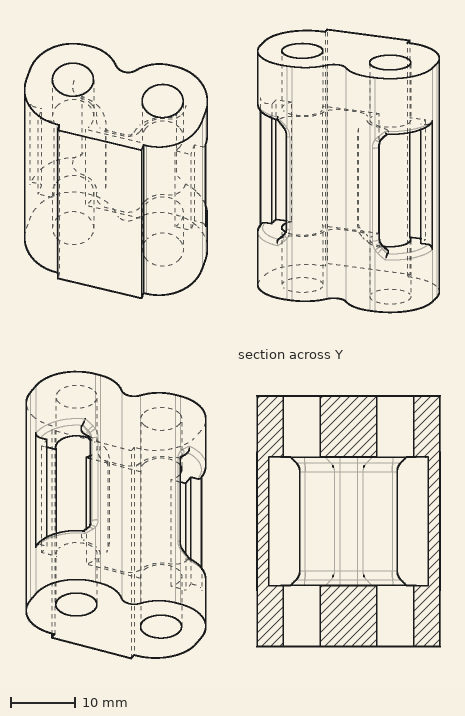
import cadquery as cq
import math

height = 39.0
width = 28.5
lobe_radius = 7.0
hole_radius = 3.2
side_x = width / 2
hole_x = side_x - lobe_radius
flat_side_length = 2.0
front_y = -flat_side_length - lobe_radius

pad_half_width = 6.82
pad_thickness = 1.05

notch_bottom_y = 3.7
notch_radius = 2.0
shoulder_radius = 6.0

window_height = 19.95
window_radius = 5.1
slot_floor_y = hole_radius - window_radius
slot_half_width = hole_x + window_radius
rim_fillet = 0.75

bridge_tip_x = hole_x + 0.3
bridge_lip_fillet = 0.9
bridge_foot_chamfer = 1.45
bridge_foot_fillet = 2.0

overshoot = 3.9
cutter_back_y = lobe_radius + overshoot
slack = 0.02


def body_outline():
    """Closed outline of the two lobes, with the notch at the back."""
    shoulder_y = lobe_radius - shoulder_radius
    rise = notch_bottom_y + notch_radius - shoulder_y
    reach = shoulder_radius + notch_radius
    shoulder_x = math.sqrt(reach**2 - rise**2)
    meet_x = shoulder_x * notch_radius / reach
    meet_y = shoulder_y + rise * shoulder_radius / reach
    middle_angle = (math.pi / 2 + math.atan2(rise, shoulder_x)) / 2
    middle_x = shoulder_x - shoulder_radius * math.cos(middle_angle)
    middle_y = shoulder_y + shoulder_radius * math.sin(middle_angle)
    diagonal = lobe_radius * math.sqrt(0.5)
    corner_x = hole_x + diagonal
    front_corner_y = -flat_side_length - diagonal
    return (
        cq.Workplane("XY")
        .moveTo(-hole_x, front_y)
        .lineTo(hole_x, front_y)
        .threePointArc((corner_x, front_corner_y), (side_x, -flat_side_length))
        .lineTo(side_x, 0)
        .threePointArc((corner_x, diagonal), (hole_x, lobe_radius))
        .lineTo(shoulder_x, lobe_radius)
        .threePointArc((middle_x, middle_y), (meet_x, meet_y))
        .threePointArc((0, notch_bottom_y), (-meet_x, meet_y))
        .threePointArc((-middle_x, middle_y), (-shoulder_x, lobe_radius))
        .lineTo(-hole_x, lobe_radius)
        .threePointArc((-corner_x, diagonal), (-side_x, 0))
        .lineTo(-side_x, -flat_side_length)
        .threePointArc((-corner_x, front_corner_y), (-hole_x, front_y))
        .close()
    )


def plain_body():
    """The two lobes and the front pad, before any holes or windows."""
    pad_depth = pad_thickness - front_y
    pad = (
        cq.Workplane("XY")
        .box(2 * pad_half_width, pad_depth, height, centered=(True, False, False))
        .translate((0, front_y - pad_thickness, 0))
    )
    return body_outline().extrude(height).union(pad)


def bridge():
    """Bridge between the windows, hollowed around both hole axes, with rounded lips."""
    diagonal = window_radius * math.sqrt(0.5)
    bottom_x = hole_x - window_radius
    tip_y = math.sqrt(window_radius**2 - (bridge_tip_x - hole_x) ** 2)
    back_y = cutter_back_y + overshoot
    return (
        cq.Workplane("XY")
        .moveTo(-bottom_x, 0)
        .lineTo(bottom_x, 0)
        .threePointArc((hole_x - diagonal, diagonal), (bridge_tip_x, tip_y))
        .lineTo(bridge_tip_x, back_y)
        .lineTo(-bridge_tip_x, back_y)
        .lineTo(-bridge_tip_x, tip_y)
        .threePointArc((-hole_x + diagonal, diagonal), (-bottom_x, 0))
        .close()
        .extrude(window_height)
        .edges("|Z and (not >Y)")
        .fillet(bridge_lip_fillet)
    )


def bridge_edges(z):
    """Selects the edges around the bridge whose centres lie at height z of the cutter."""
    reach_x = bridge_tip_x + slack
    low = (-reach_x, -bridge_foot_chamfer - slack, z - slack)
    high = (reach_x, cutter_back_y - slack, z + slack)
    return cq.selectors.BoxSelector(low, high)


def window_cutter():
    """Space of both windows and the slot; the bridge is left out, its feet flared."""
    span = width + 2 * overshoot
    depth = cutter_back_y - slot_floor_y
    cutter = (
        cq.Workplane("XY")
        .box(span, depth, window_height, centered=(True, False, False))
        .translate((0, slot_floor_y, 0))
        .cut(bridge())
    )
    for z in (0, window_height):
        cutter = cutter.edges(bridge_edges(z)).chamfer(bridge_foot_chamfer)
    for z in (bridge_foot_chamfer, window_height - bridge_foot_chamfer):
        cutter = cutter.edges(bridge_edges(z)).fillet(bridge_foot_fillet)
    return cutter.translate((0, 0, (height - window_height) / 2))


def is_window_rim(edge):
    """True for edges where a window breaks through the outside of a lobe."""
    middle = edge.positionAt(0.5)
    from_axis = math.hypot(abs(middle.x) - hole_x, middle.y)
    on_lobe = middle.y > slack and abs(from_axis - lobe_radius) < slack
    on_flat = slot_floor_y + slack < middle.y < -slack and abs(abs(middle.x) - side_x) < slack
    box = edge.BoundingBox()
    return (on_lobe or on_flat) and box.zmin > slack and box.zmax < height - slack


def side_walls(body):
    """Outer walls that close both ends of the slot up to the hole axes."""
    wall = cq.Workplane("XY").box(overshoot, -slot_floor_y, height)
    middle_x = slot_half_width + overshoot / 2
    walls = cq.Workplane("XY")
    for side in (-1, 1):
        walls = walls.add(wall.translate((side * middle_x, slot_floor_y / 2, height / 2)))
    return body.intersect(walls.combine())


body = plain_body()
opened = body.cut(window_cutter())
rim = [edge for edge in opened.edges().vals() if is_window_rim(edge)]
opened = opened.newObject(rim).fillet(rim_fillet)
holes = cq.Workplane("XY").pushPoints([(-hole_x, 0), (hole_x, 0)]).circle(hole_radius).extrude(height)
result = opened.union(side_walls(body)).cut(holes)